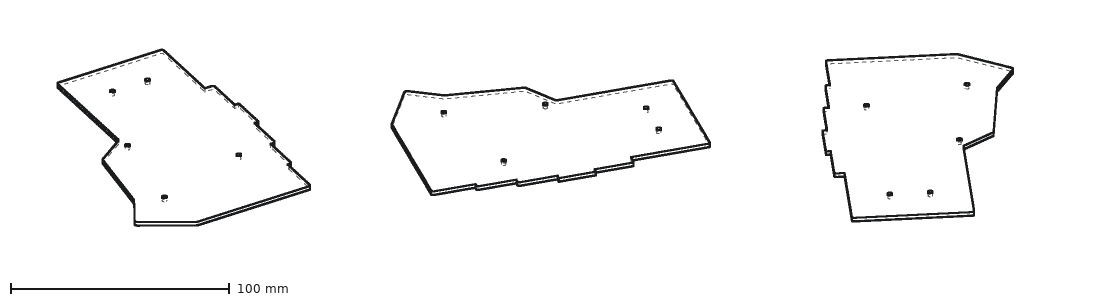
import cadquery as cq
import math

plate_width = 133.8
thickness = 2.0
corner_radius = 1.0
thumb_tip_radius = 1.5
hole_diameter = 2.1

column_pitch = 19.0
second_step_x = 57.1
first_step_x = second_step_x - column_pitch
third_step_x = 74.9
fourth_step_x = third_step_x + column_pitch
fifth_step_x = fourth_step_x + column_pitch
outer_top = 56.2
shoulder_top = 60.9
peak_top = 63.0
low_step_top = 58.3

thumb_start_x = 56.0
thumb_inner = (66.3, -14.7)
thumb_knee = (103.4, -19.7)
thumb_edge_length = 18.5
thumb_tilt = math.radians(30)
thumb_tip = (
    thumb_knee[0] + thumb_edge_length * math.cos(thumb_tilt),
    thumb_knee[1] - thumb_edge_length * math.sin(thumb_tilt),
)
right_edge_bottom = thumb_tip[1] + (plate_width - thumb_tip[0]) / math.tan(thumb_tilt)

left_hole_x = 18.7
hole_centers = [
    (left_hole_x, 37.2),
    (left_hole_x, 18.6),
    (94.4, 41.0),
    (61.7, 1.3),
    (108.0, -6.3),
]

rounded_corners = [
    (0, 0),
    (0, outer_top),
    (first_step_x, shoulder_top),
    (fourth_step_x, shoulder_top),
    (fifth_step_x, low_step_top),
    (plate_width, outer_top),
    (plate_width, right_edge_bottom),
    thumb_knee,
    thumb_inner,
    (thumb_start_x, 0),
]


def make_plate():
    outline = [
        (0, 0),
        (0, outer_top),
        (first_step_x, outer_top),
        (first_step_x, shoulder_top),
        (second_step_x, shoulder_top),
        (second_step_x, peak_top),
        (third_step_x, peak_top),
        (third_step_x, shoulder_top),
        (fourth_step_x, shoulder_top),
        (fourth_step_x, low_step_top),
        (fifth_step_x, low_step_top),
        (fifth_step_x, outer_top),
        (plate_width, outer_top),
        (plate_width, right_edge_bottom),
        thumb_tip,
        thumb_knee,
        thumb_inner,
        (thumb_start_x, 0),
    ]
    return cq.Workplane("XY").polyline(outline).close().extrude(thickness)


def round_corners(plate, corners, radius):
    for x, y in corners:
        nearest_edge = cq.selectors.NearestToPointSelector((x, y, thickness / 2))
        plate = plate.edges("|Z").edges(nearest_edge).fillet(radius)
    return plate


def drill_holes(plate):
    top_face = plate.faces(">Z").workplane(origin=(0, 0, thickness))
    return top_face.pushPoints(hole_centers).hole(hole_diameter)


plate = make_plate()
plate = round_corners(plate, rounded_corners, corner_radius)
plate = round_corners(plate, [thumb_tip], thumb_tip_radius)
result = drill_holes(plate)